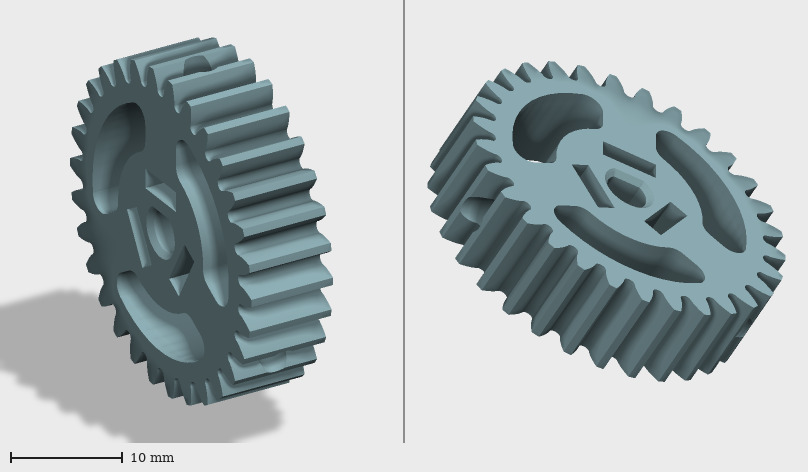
import cadquery as cq
import math


outer_diameter = 32.0
face_width = 8.5
tooth_count = 30
pressure_angle = math.radians(20)
dedendum_in_modules = 5 / 4
flank_point_count = 7

module = outer_diameter / (tooth_count + 2)
tip_radius = outer_diameter / 2
pitch_radius = module * tooth_count / 2
root_radius = pitch_radius - dedendum_in_modules * module
base_radius = pitch_radius * math.cos(pressure_angle)
tooth_pitch = 2 * math.pi / tooth_count

spoke_count = 3
spoke_width = 5.4
window_inner_radius = 7.5
window_outer_radius = 12.0
window_corner_radius = 1.5

nut_slot_width = spoke_width
nut_slot_thickness = 2.0
nut_slot_center = 4.3

bore_diameter = 4.0
bore_flat_height = 1.5
bore_chamfer = 0.5

screw_hole_diameter = 3.2

spoke_angles = [90 + i * 360 / spoke_count for i in range(spoke_count)]


def polar(radius, angle):
    return (radius * math.cos(angle), radius * math.sin(angle))


def involute(angle):
    return math.tan(angle) - angle


def half_tooth_angle(radius):
    """Half the angle that one tooth covers at a radius on its involute flank."""
    at_pitch = tooth_pitch / 4
    roll = math.acos(min(1.0, base_radius / radius))
    return at_pitch + involute(pressure_angle) - involute(roll)


def flank_radii():
    step = (tip_radius - base_radius) / (flank_point_count - 1)
    return [base_radius + i * step for i in range(flank_point_count)]


def back_face_plane():
    """Sketching plane at the +Y face, facing -Y, with local x = X and local y = Z."""
    return cq.Workplane("XZ", origin=(0, face_width / 2, 0))


def gear_blank():
    radii = flank_radii()
    outline = back_face_plane().moveTo(*polar(base_radius, -half_tooth_angle(base_radius)))
    for i in range(tooth_count):
        center = i * tooth_pitch
        rising = [polar(r, center - half_tooth_angle(r)) for r in radii]
        falling = [polar(r, center + half_tooth_angle(r)) for r in reversed(radii)]
        root_middle = polar(root_radius, center + tooth_pitch / 2)
        next_flank = polar(base_radius, center + tooth_pitch - half_tooth_angle(base_radius))
        outline = outline.spline(rising[1:], includeCurrent=True)
        outline = outline.threePointArc(polar(tip_radius, center), falling[0])
        outline = outline.spline(falling[1:], includeCurrent=True)
        outline = outline.threePointArc(root_middle, next_flank)
    return outline.close().extrude(face_width)


def windows():
    ring = back_face_plane().circle(window_outer_radius).circle(window_inner_radius).extrude(face_width)
    for angle in spoke_angles:
        spoke = (
            back_face_plane()
            .transformed(rotate=(0, 0, angle))
            .rect(tip_radius, spoke_width, centered=(False, True))
            .extrude(face_width)
        )
        ring = ring.cut(spoke)
    return ring.edges("|Y").fillet(window_corner_radius)


def nut_slots():
    return (
        back_face_plane()
        .polarArray(nut_slot_center, spoke_angles[0], 360, spoke_count)
        .rect(nut_slot_thickness, nut_slot_width)
        .extrude(face_width)
    )


def d_bore():
    bore_radius = bore_diameter / 2
    half_flat = math.sqrt(bore_radius**2 - bore_flat_height**2)
    return (
        back_face_plane()
        .moveTo(-half_flat, bore_flat_height)
        .threePointArc((0, -bore_radius), (half_flat, bore_flat_height))
        .close()
        .extrude(face_width)
    )


def screw_holes():
    holes = cq.Workplane("XY")
    for angle in spoke_angles:
        hole = cq.Workplane("XY").circle(screw_hole_diameter / 2).extrude(tip_radius)
        holes = holes.add(hole.rotate((0, 0, 0), (0, 1, 0), 90 - angle))
    return holes.combine()


body = gear_blank().cut(d_bore())

bore_rim = body.faces("<Y").val().innerWires()[0]
body = body.newObject(bore_rim.Edges()).chamfer(bore_chamfer)

result = body.cut(windows()).cut(nut_slots()).cut(screw_holes())